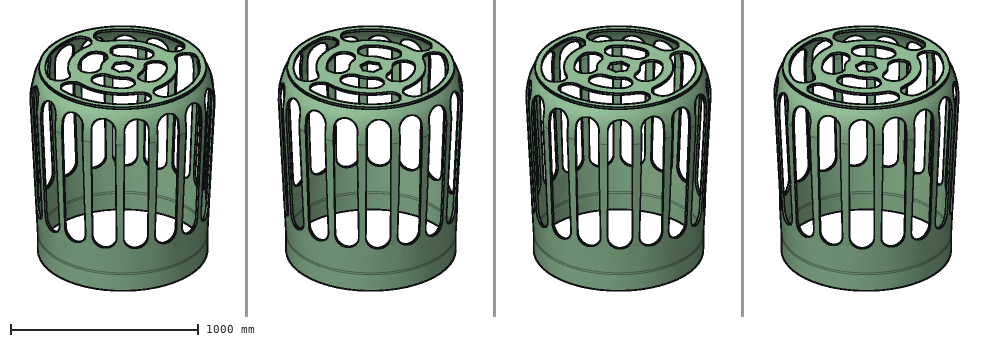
import cadquery as cq
import math

base_radius = 905.0 / 2
belly_radius = 983.0 / 2
belly_height = 912.0
crown_curve_radius = 348.0
wall = 12.0
total_height = 1115.0

bend_height = 106.0
bend_reach = 6.0

slot_count = 17
slot_width = 132.0
slot_bottom = 261.0
slot_top = 1051.0

lid_thickness = 12.0
lid_radius = 890.0 / 2
window_count = 4
window_width = 120.0
outer_ring_radius = 351.0
inner_ring_radius = outer_ring_radius / 2
inner_window_half_angle = 19.5
outer_window_half_angle = 32.8
hex_corner_diameter = 118.0

shell_height = total_height - lid_thickness
lean = math.atan2(belly_radius - base_radius, belly_height - bend_height)
bend_radius = bend_reach / math.tan(lean / 2)
bend_center = (base_radius + bend_radius, bend_height - bend_reach)
crown_center = (
    belly_radius - crown_curve_radius * math.cos(lean),
    belly_height + crown_curve_radius * math.sin(lean),
)


def on_circle(center, radius, angle):
    """Point at an angle (radians) from the horizontal on a circle."""
    return (center[0] + radius * math.cos(angle), center[1] + radius * math.sin(angle))


def wall_solid(depth):
    """Solid of revolution bounded by the wall surface that lies `depth` inside the outer face."""
    bend = bend_radius + depth
    crown = crown_curve_radius - depth
    crown_end = math.asin((shell_height - crown_center[1]) / crown)
    bend_start = on_circle(bend_center, bend, math.pi)
    return (
        cq.Workplane("XZ")
        .moveTo(0, 0)
        .lineTo(base_radius - depth, 0)
        .lineTo(*bend_start)
        .threePointArc(
            on_circle(bend_center, bend, math.pi - lean / 2),
            on_circle(bend_center, bend, math.pi - lean),
        )
        .lineTo(*on_circle(crown_center, crown, -lean))
        .threePointArc(
            on_circle(crown_center, crown, (crown_end - lean) / 2),
            on_circle(crown_center, crown, crown_end),
        )
        .lineTo(0, shell_height)
        .close()
        .revolve(360, (0, 0, 0), (0, 1, 0))
    )


def make_shell():
    """Thin slotted wall, open at both ends; one slot faces +X and one rib faces -X."""
    shell = wall_solid(0).cut(wall_solid(wall))
    slot = (
        cq.Workplane("YZ")
        .center(0, (slot_bottom + slot_top) / 2)
        .slot2D(slot_top - slot_bottom, slot_width, 90)
        .extrude(belly_radius + wall)
    )
    for i in range(slot_count):
        shell = shell.cut(slot.rotate((0, 0, 0), (0, 0, 1), i * 360 / slot_count))
    return shell


def curved_window(ring_radius, half_angle):
    """Cutter for a round-ended window that follows an arc about the axis, centred on +X."""
    end = math.radians(half_angle)
    origin = (0, 0)
    inner = ring_radius - window_width / 2
    outer = ring_radius + window_width / 2
    upper_center = on_circle(origin, ring_radius, end)
    lower_center = on_circle(origin, ring_radius, -end)
    upper_tip = on_circle(upper_center, window_width / 2, end + math.pi / 2)
    lower_tip = on_circle(lower_center, window_width / 2, -end - math.pi / 2)
    return (
        cq.Workplane("XY", origin=(0, 0, shell_height))
        .moveTo(*on_circle(origin, outer, -end))
        .threePointArc((outer, 0), on_circle(origin, outer, end))
        .threePointArc(upper_tip, on_circle(origin, inner, end))
        .threePointArc((inner, 0), on_circle(origin, inner, -end))
        .threePointArc(lower_tip, on_circle(origin, outer, -end))
        .close()
        .extrude(lid_thickness)
    )


def make_lid():
    """Flat round grate with two rings of windows and a hexagonal hole, resting on the shell."""
    lid = cq.Workplane("XY", origin=(0, 0, shell_height)).circle(lid_radius).extrude(lid_thickness)
    hex_hole = (
        cq.Workplane("XY", origin=(0, 0, shell_height))
        .transformed(rotate=(0, 0, 90))
        .polygon(6, hex_corner_diameter)
        .extrude(lid_thickness)
    )
    lid = lid.cut(hex_hole)
    for ring_radius, half_angle in (
        (inner_ring_radius, inner_window_half_angle),
        (outer_ring_radius, outer_window_half_angle),
    ):
        window = curved_window(ring_radius, half_angle)
        for i in range(window_count):
            lid = lid.cut(window.rotate((0, 0, 0), (0, 0, 1), i * 360 / window_count))
    return lid


shell = make_shell()
lid = make_lid()

result = cq.Compound.makeCompound([shell.val(), lid.val()])